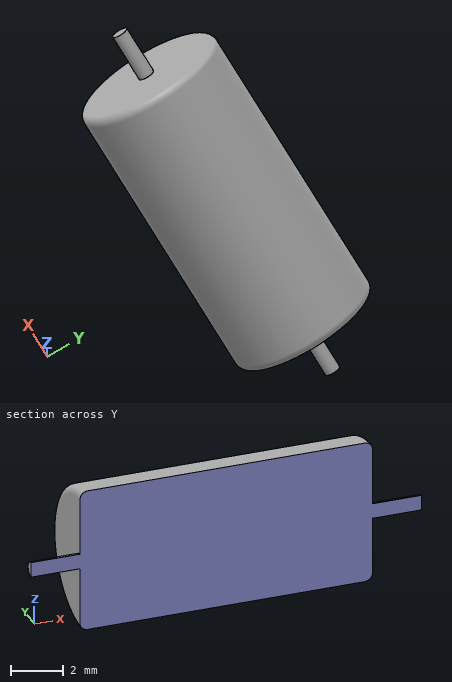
import cadquery as cq

body_length = 12.0
body_diameter = 6.0
edge_radius = 0.33
lead_diameter = 0.65
lead_length = 2.0

overall_length = body_length + 2 * lead_length


def cylinder_along_x(diameter, length):
    """Cylinder on the X axis, centred on the origin."""
    start_plane = cq.Workplane("YZ", origin=(-length / 2, 0, 0))
    return start_plane.circle(diameter / 2).extrude(length)


body = cylinder_along_x(body_diameter, body_length).edges("%CIRCLE").fillet(edge_radius)

leads = cylinder_along_x(lead_diameter, overall_length)

result = body.union(leads)